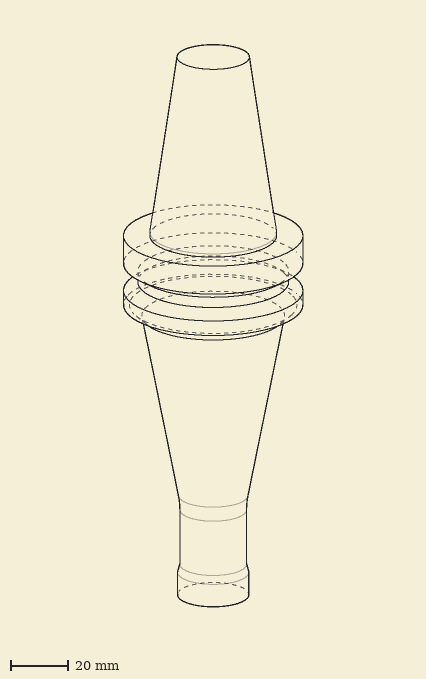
import cadquery as cq

total_height = 200.5

collar_diameter = 25.0
collar_height = 8.5
neck_diameter = 23.5
neck_bottom_z = 11.5
neck_top_z = 31.7

body_bottom_diameter = 24.5
body_bottom_z = 37.0
body_top_diameter = 50.0
body_top_z = 104.0

flange_diameter = 63.0
flange_bottom_z = 108.0
flange_top_z = 133.9
flange_base_diameter = 58.7
groove_diameter = 53.0
groove_lower_edge_z = 113.5
groove_floor_bottom_z = 116.6
groove_floor_top_z = 120.5
groove_upper_edge_z = 123.5

gauge_diameter = 44.5
gauge_z = 135.0
taper_ratio = 7 / 24
taper_tip_diameter = gauge_diameter - (total_height - gauge_z) * taper_ratio


def rim(diameter, z):
    """Half-profile point on the circle of this diameter at height z."""
    return (diameter / 2, z)


profile = (
    cq.Workplane("XZ")
    .moveTo(0, 0)
    .lineTo(*rim(collar_diameter, 0))
    .lineTo(*rim(collar_diameter, collar_height))
    .lineTo(*rim(neck_diameter, neck_bottom_z))
    .lineTo(*rim(neck_diameter, neck_top_z))
    .tangentArcPoint(rim(body_bottom_diameter, body_bottom_z), relative=False)
    .lineTo(*rim(body_top_diameter, body_top_z))
    .lineTo(*rim(flange_base_diameter, flange_bottom_z))
    .lineTo(*rim(flange_diameter, flange_bottom_z))
    .lineTo(*rim(flange_diameter, groove_lower_edge_z))
    .lineTo(*rim(groove_diameter, groove_floor_bottom_z))
    .lineTo(*rim(groove_diameter, groove_floor_top_z))
    .lineTo(*rim(flange_diameter, groove_upper_edge_z))
    .lineTo(*rim(flange_diameter, flange_top_z))
    .lineTo(*rim(gauge_diameter, flange_top_z))
    .lineTo(*rim(gauge_diameter, gauge_z))
    .lineTo(*rim(taper_tip_diameter, total_height))
    .lineTo(0, total_height)
    .close()
)

result = profile.revolve(360, (0, 0, 0), (0, 1, 0))